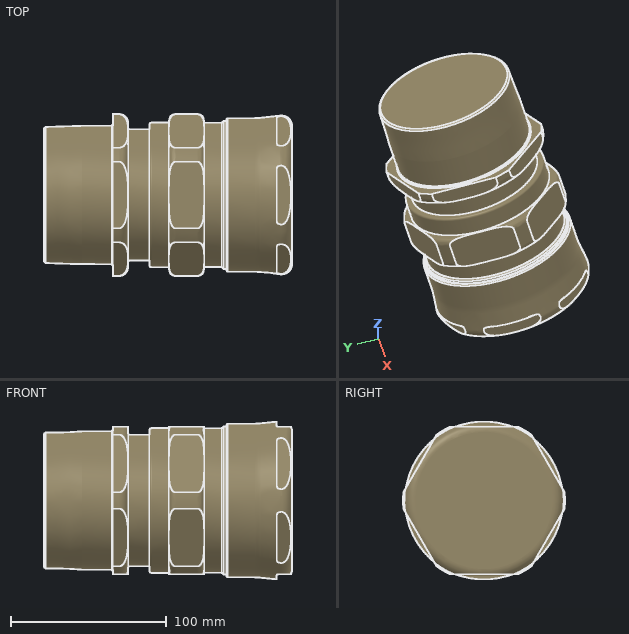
import cadquery as cq
import math


HEX_FLANGE_START = 44.3
HEX_FLANGE_END = 54.1
MAIN_START = 67.7
MAIN_HEX_START = 80.3
MAIN_HEX_END = 102.7
SEAL_START = 114.2
NUT_START = 116.9
NUT_END = 159.3

ACROSS_FLATS = 94.8
CORNER_RADIUS = 104.0 / 2
FLANGE_ROUND = 6.0
MAIN_HEX_ROUND = 4.3

ENTRY_TIP_RADIUS = 85.0 / 2
TAPER_START = 1.1
TAPER_START_RADIUS = 87.5 / 2
TAPER_END = 24.4
ENTRY_RADIUS = 88.9 / 2
NECK_RADIUS = 84.4 / 2
NECK_FILLET = 0.8

ORING_SECTION_RADIUS = 1.4 / 2
ORING_GROOVE_RADIUS = 87.3 / 2
ORING_CENTRE_RADIUS = ORING_GROOVE_RADIUS + ORING_SECTION_RADIUS

MAIN_FRONT_RADIUS = 93.0 / 2
MAIN_REAR_RADIUS = 92.7 / 2
MAIN_ROUND = 1.6

SEAL_RADIUS = 95.0 / 2
SEAL_CHAMFER_LENGTH = 1.1
SEAL_TIP_RADIUS = 93.0 / 2

NUT_CHAMFER = 1.0
NUT_RADIUS = 98.7 / 2
NUT_BLEND_START = 135.4
NUT_CONE_START = 138.9
NUT_CONE_ANGLE = 6.4
FLAT_START = 149.2
FLAT_FILLET = 1.0
NUT_ROUND = 7.0
FLAT_CUT_MARGIN = 1.6


def revolve_profile(profile):
    """Turn a closed (x, radius) profile drawn in the XY plane about the X axis."""
    return profile.close().revolve(360, (0, 0, 0), (1, 0, 0))


def cylinder(start, end, radius):
    return cq.Workplane("YZ", origin=(start, 0, 0)).circle(radius).extrude(end - start)


def hex_prism(start, end):
    """Hexagonal prism along X with its corners on the Y axis."""
    across_corners = ACROSS_FLATS / math.cos(math.pi / 6)
    return cq.Workplane("YZ", origin=(start, 0, 0)).polygon(6, across_corners).extrude(end - start)


def rounded_hexagon(start, end, rounded_ends, rounding):
    """Hexagon whose corners are turned to a cylinder with rounded ends."""
    turned = cylinder(start, end, CORNER_RADIUS).edges(rounded_ends).fillet(rounding)
    return hex_prism(start, end).intersect(turned)


def make_oring():
    ring = cq.Solid.makeTorus(
        ORING_CENTRE_RADIUS, ORING_SECTION_RADIUS, cq.Vector(HEX_FLANGE_START, 0, 0), cq.Vector(1, 0, 0)
    )
    return cq.Workplane(ring)


def make_entry(oring):
    spigot = revolve_profile(
        cq.Workplane("XY")
        .moveTo(0, 0)
        .lineTo(0, ENTRY_TIP_RADIUS)
        .lineTo(TAPER_START, TAPER_START_RADIUS)
        .lineTo(TAPER_END, ENTRY_RADIUS)
        .lineTo(HEX_FLANGE_START, ENTRY_RADIUS)
        .lineTo(HEX_FLANGE_START, 0)
    )
    flange = rounded_hexagon(HEX_FLANGE_START, HEX_FLANGE_END, ">X", FLANGE_ROUND)
    arc_offset = NECK_FILLET * (1 - math.cos(math.pi / 4))
    neck = revolve_profile(
        cq.Workplane("XY")
        .moveTo(HEX_FLANGE_END, 0)
        .lineTo(HEX_FLANGE_END, NECK_RADIUS + NECK_FILLET)
        .threePointArc(
            (HEX_FLANGE_END + arc_offset, NECK_RADIUS + arc_offset),
            (HEX_FLANGE_END + NECK_FILLET, NECK_RADIUS),
        )
        .lineTo(MAIN_START, NECK_RADIUS)
        .lineTo(MAIN_START, 0)
    )
    return spigot.union(flange).union(neck).cut(oring)


def make_main_body():
    front = cylinder(MAIN_START, MAIN_HEX_START, MAIN_FRONT_RADIUS).edges("<X").fillet(MAIN_ROUND)
    rear = cylinder(MAIN_HEX_END, NUT_START, MAIN_REAR_RADIUS)
    hexagon = rounded_hexagon(MAIN_HEX_START, MAIN_HEX_END, "<X or >X", MAIN_HEX_ROUND)
    return front.union(hexagon).union(rear)


def make_seal():
    return revolve_profile(
        cq.Workplane("XY")
        .moveTo(SEAL_START, MAIN_REAR_RADIUS)
        .lineTo(SEAL_START, SEAL_TIP_RADIUS)
        .lineTo(SEAL_START + SEAL_CHAMFER_LENGTH, SEAL_RADIUS)
        .lineTo(NUT_START, SEAL_RADIUS)
        .lineTo(NUT_START, MAIN_REAR_RADIUS)
    )


def make_nut():
    cone_slope = math.radians(NUT_CONE_ANGLE)
    cone_start_radius = NUT_RADIUS + (NUT_CONE_START - NUT_BLEND_START) * math.tan(cone_slope / 2)
    cone_end_radius = cone_start_radius + (NUT_END - NUT_CONE_START) * math.tan(cone_slope)
    turned = revolve_profile(
        cq.Workplane("XY")
        .moveTo(NUT_START, 0)
        .lineTo(NUT_START, NUT_RADIUS - NUT_CHAMFER)
        .lineTo(NUT_START + NUT_CHAMFER, NUT_RADIUS)
        .lineTo(NUT_BLEND_START, NUT_RADIUS)
        .tangentArcPoint((NUT_CONE_START, cone_start_radius), relative=False)
        .lineTo(NUT_END, cone_end_radius)
        .lineTo(NUT_END, 0)
    )
    turned = turned.edges(">X").fillet(NUT_ROUND)

    waste = cylinder(FLAT_START, NUT_END, cone_end_radius + FLAT_CUT_MARGIN)
    waste = waste.cut(hex_prism(FLAT_START, NUT_END))
    waste = waste.faces("<X").edges("%LINE").fillet(FLAT_FILLET)
    return turned.cut(waste)


oring = make_oring()
entry = make_entry(oring)
main_body = make_main_body()
seal = make_seal()
nut = make_nut()

result = cq.Compound.makeCompound([entry.val(), oring.val(), main_body.val(), seal.val(), nut.val()])